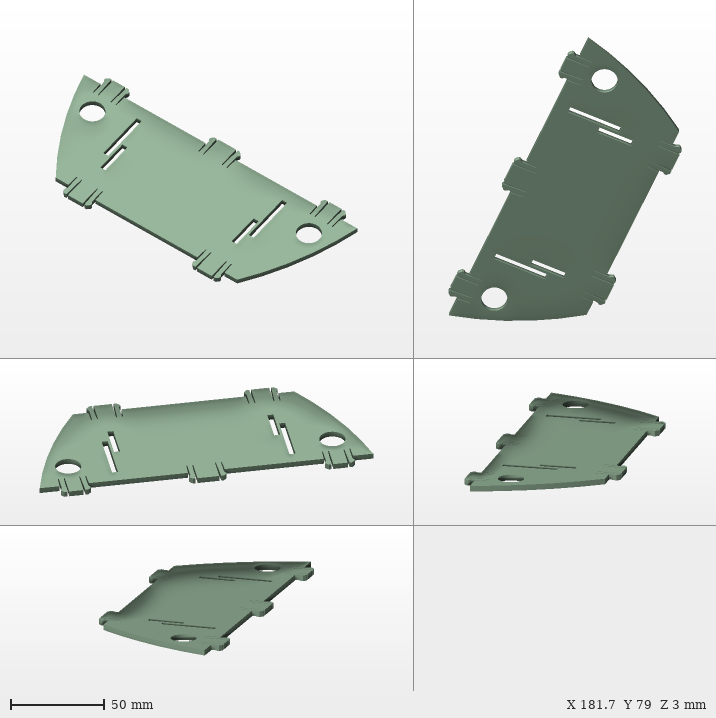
import cadquery as cq

length = 181.7
overall_depth = 79.0
thickness = 3.0
tab_reach = 6.0
plate_half_depth = overall_depth / 2 - tab_reach
rear_half_length = length / 2
front_half_length = 60.3
bow_half_length = 79.5

hole_diameter = 14.0
hole_x = 72.0
hole_y = 15.5
slot_width = 3.3
long_slot_length = 30.2
long_slot_x = 48.3
long_slot_y = 10.5
short_slot_length = 19.8
short_slot_x = 43.6
short_slot_y = -3.6

rear_core_width = 7.8
middle_core_width = 11.8
front_core_width = 9.8
rear_tab_x = hole_x
front_tab_x = 42.9
slit_depth = 13.0
slit_root_width = 0.5
slit_mouth_width = 1.0
finger_root_width = 2.7
barb_height = 0.9
barb_tip_inset = 0.7
barb_crest_start = 1.6
barb_crest_end = 2.5
barb_end = 4.0


def extrude_outline(points):
    """Extrude a closed straight-sided outline to the plate thickness."""
    return cq.Workplane("XY").polyline(points).close().extrude(thickness)


def make_plate():
    return (
        cq.Workplane("XY")
        .moveTo(-rear_half_length, plate_half_depth)
        .lineTo(rear_half_length, plate_half_depth)
        .threePointArc((bow_half_length, 0), (front_half_length, -plate_half_depth))
        .lineTo(-front_half_length, -plate_half_depth)
        .threePointArc((-bow_half_length, 0), (-rear_half_length, plate_half_depth))
        .close()
        .extrude(thickness)
    )


def make_finger(side, inner_root, inner_tip, outer):
    """Return one barbed finger with its tip at y = 0, on the given side (-1 or 1) of the core."""
    return extrude_outline([
        (side * inner_root, -slit_depth),
        (side * outer, -slit_depth),
        (side * outer, -barb_end),
        (side * (outer + barb_height), -barb_crest_end),
        (side * (outer + barb_height), -barb_crest_start),
        (side * (outer - barb_tip_inset), 0),
        (side * inner_tip, 0),
    ])


def add_tab(body, core_width, x, edge):
    """Add a snap tab at x on the rear (edge = 1) or front (edge = -1) side of the plate."""
    core_side = core_width / 2
    inner_root = core_side + slit_root_width
    inner_tip = core_side + slit_mouth_width
    outer = inner_root + finger_root_width
    clearance_root = outer + slit_root_width
    clearance_mouth = outer + slit_mouth_width

    clearance = extrude_outline([
        (-clearance_root, -slit_depth),
        (clearance_root, -slit_depth),
        (clearance_mouth, 0),
        (-clearance_mouth, 0),
    ])
    core = extrude_outline([
        (-core_side, -slit_depth),
        (core_side, -slit_depth),
        (core_side, 0),
        (-core_side, 0),
    ])
    fingers = [make_finger(side, inner_root, inner_tip, outer) for side in (-1, 1)]

    def place(piece):
        if edge < 0:
            piece = piece.mirror("XZ")
        return piece.translate((x, edge * overall_depth / 2, 0))

    body = body.cut(place(clearance))
    for piece in [core] + fingers:
        body = body.union(place(piece))
    return body


def cut_openings(body):
    for side in (-1, 1):
        hole = cq.Workplane("XY").center(side * hole_x, hole_y).circle(hole_diameter / 2)
        body = body.cut(hole.extrude(thickness))
        for x, y, slot_length in (
            (long_slot_x, long_slot_y, long_slot_length),
            (short_slot_x, short_slot_y, short_slot_length),
        ):
            slot = cq.Workplane("XY").center(side * x, y).rect(slot_width, slot_length)
            body = body.cut(slot.extrude(thickness))
    return body


result = cut_openings(make_plate())
result = add_tab(result, middle_core_width, 0, 1)
for side in (-1, 1):
    result = add_tab(result, rear_core_width, side * rear_tab_x, 1)
    result = add_tab(result, front_core_width, side * front_tab_x, -1)